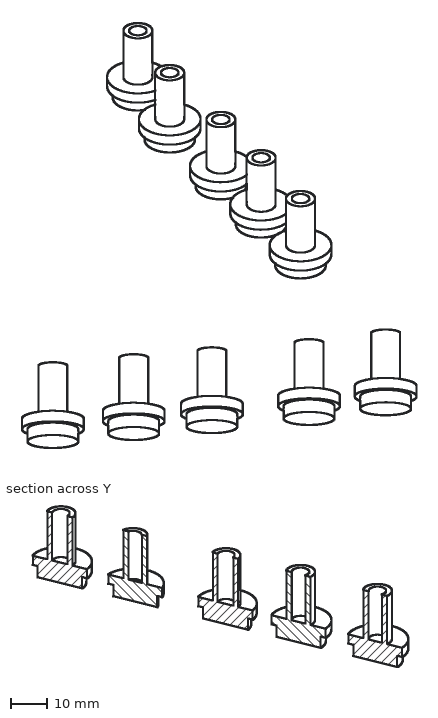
import cadquery as cq

SPIGOT_DIAMETER = 14.0
SPIGOT_HEIGHT = 3.5
FLANGE_DIAMETER = 17.0
FLANGE_THICKNESS = 3.0
SHANK_DIAMETER = 8.0
SHANK_LENGTH = 15.0
BORE_DIAMETER = 4.8
BORE_DEPTH = SHANK_LENGTH

STUD_AXES = [
    (0.0, 0.0),
    (23.36, -2.0),
    (51.36, -0.4),
    (74.02, 0.55),
    (97.8, 0.67),
]


def make_stud(axis):
    """One flanged stud standing on Z = 0 with its blind bore opening at the top."""
    return (
        cq.Workplane("XY")
        .center(*axis)
        .circle(SPIGOT_DIAMETER / 2)
        .extrude(SPIGOT_HEIGHT)
        .faces(">Z")
        .workplane()
        .circle(FLANGE_DIAMETER / 2)
        .extrude(FLANGE_THICKNESS)
        .faces(">Z")
        .workplane()
        .circle(SHANK_DIAMETER / 2)
        .extrude(SHANK_LENGTH)
        .faces(">Z")
        .workplane()
        .hole(BORE_DIAMETER, BORE_DEPTH)
    )


studs = [make_stud(axis) for axis in STUD_AXES]

result = cq.Compound.makeCompound([stud.val() for stud in studs])